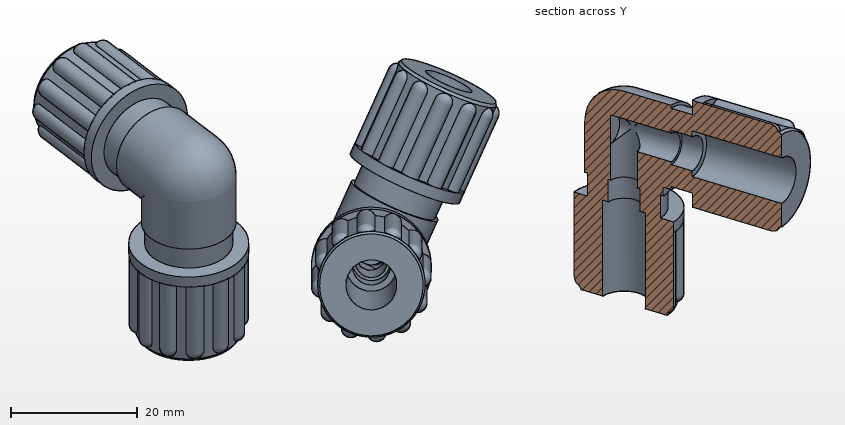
import cadquery as cq

overall = 39.5
nut_diameter = 19.0
arm_length = overall - nut_diameter / 2

body_diameter = 15.0
neck_diameter = 14.0
neck_length = 4.0

nut_length = 17.0
flange_thickness = 1.95
core_diameter = 17.0
rim_chamfer_length = 0.5
rim_chamfer_depth = 0.3
rib_count = 12
rib_diameter = 3.0

mouth_diameter = 8.0
seat_diameter = 6.0
passage_diameter = 5.0

nut_start = arm_length - nut_length
body_end = nut_start - neck_length
flange_end = nut_start + flange_thickness
chamfer_start = arm_length - rim_chamfer_length


def cylinder(diameter, start, end):
    """Cylinder on the Z axis between two heights."""
    return cq.Workplane("XY").workplane(offset=start).circle(diameter / 2).extrude(end - start)


def make_rib():
    """Round bar with a domed tip that touches the outside diameter of the nut."""
    rib_radius = rib_diameter / 2
    dome_centre = chamfer_start - rib_radius
    bar = cylinder(rib_diameter, nut_start, dome_centre)
    dome = cq.Workplane("XY").sphere(rib_radius).translate((0, 0, dome_centre))
    return bar.union(dome).translate((nut_diameter / 2 - rib_radius, 0, 0))


def make_nut():
    """Flanged nut with a bevelled rim and evenly spaced ribs."""
    core_radius = core_diameter / 2
    core_profile = [
        (0, nut_start),
        (core_radius, nut_start),
        (core_radius, chamfer_start),
        (core_radius - rim_chamfer_depth, arm_length),
        (0, arm_length),
    ]
    core = cq.Workplane("XZ").polyline(core_profile).close().revolve(360, (0, 0), (0, 1))
    nut = core.union(cylinder(nut_diameter, nut_start, flange_end))
    rib = make_rib()
    for index in range(rib_count):
        nut = nut.union(rib.rotate((0, 0, 0), (0, 0, 1), index * 360 / rib_count))
    return nut


def make_arm():
    """Solid arm rising along +Z: body, neck and nut."""
    body = cylinder(body_diameter, 0, body_end)
    neck = cylinder(neck_diameter, body_end, nut_start)
    return body.union(neck).union(make_nut())


def make_bore():
    """Bore that narrows at the nut and at the body, and reaches the far wall of the other arm's bore."""
    mouth = cylinder(mouth_diameter, nut_start, arm_length)
    seat = cylinder(seat_diameter, body_end, nut_start)
    passage = cylinder(passage_diameter, -passage_diameter / 2, body_end)
    return passage.union(seat).union(mouth)


def point_down(shape):
    """Turn a +Z arm to point along -Z."""
    return shape.rotate((0, 0, 0), (1, 0, 0), 180)


def point_left(shape):
    """Turn a +Z arm to point along -X."""
    return shape.rotate((0, 0, 0), (0, 1, 0), -90)


arm = make_arm()
bore = make_bore()
corner = cq.Workplane("XY").sphere(body_diameter / 2)

result = point_down(arm).union(point_left(arm)).union(corner)
result = result.cut(point_down(bore)).cut(point_left(bore))